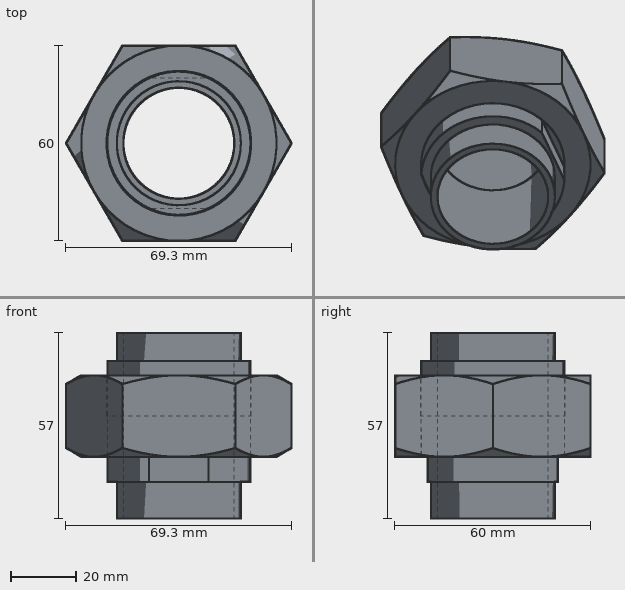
import cadquery as cq
import math

lower_pipe_length = 11.3
lower_collar_length = 7.7
nut_height = 25.0
upper_collar_exposed = 4.4
upper_pipe_length = 8.6

nut_bottom = lower_pipe_length + lower_collar_length
nut_top = nut_bottom + nut_height
upper_collar_top = nut_top + upper_collar_exposed
overall_height = upper_collar_top + upper_pipe_length
joint_height = nut_bottom + nut_height / 2

bore_diameter = 34.0
pipe_diameter = 38.1
collar_diameter = 44.0
wrench_width = 40.0
nut_corner_width = 69.3
nut_flat_width = nut_corner_width * math.cos(math.pi / 6)
nut_clearance = 0.2
chamfer_angle = math.radians(30)


def cylinder(diameter, bottom, top):
    return cq.Workplane("XY").workplane(offset=bottom).circle(diameter / 2).extrude(top - bottom)


def bored(body):
    return body.cut(cylinder(bore_diameter, 0, overall_height))


def make_lower_tail():
    collar = cylinder(collar_diameter, lower_pipe_length, joint_height)
    flats = (
        cq.Workplane("XY")
        .workplane(offset=lower_pipe_length)
        .rect(nut_corner_width, nut_corner_width)
        .rect(nut_corner_width, wrench_width)
        .extrude(lower_collar_length)
    )
    pipe = cylinder(pipe_diameter, 0, lower_pipe_length)
    return bored(collar.cut(flats).union(pipe))


def make_upper_tail():
    collar = cylinder(collar_diameter, joint_height, upper_collar_top)
    pipe = cylinder(pipe_diameter, upper_collar_top, overall_height)
    return bored(collar.union(pipe))


def make_nut():
    hexagon = (
        cq.Workplane("XY")
        .workplane(offset=nut_bottom)
        .polygon(6, nut_corner_width)
        .extrude(nut_height)
    )
    flat_radius = nut_flat_width / 2
    corner_radius = nut_corner_width / 2
    bevel_height = (corner_radius - flat_radius) * math.tan(chamfer_angle)
    envelope = (
        cq.Workplane("XZ")
        .moveTo(0, nut_bottom)
        .lineTo(flat_radius, nut_bottom)
        .lineTo(corner_radius, nut_bottom + bevel_height)
        .lineTo(corner_radius, nut_top - bevel_height)
        .lineTo(flat_radius, nut_top)
        .lineTo(0, nut_top)
        .close()
        .revolve(360, (0, 0, 0), (0, 1, 0))
    )
    lower_hole = cylinder(collar_diameter, nut_bottom, joint_height)
    upper_hole = cylinder(collar_diameter + 2 * nut_clearance, joint_height, nut_top)
    return hexagon.intersect(envelope).cut(lower_hole).cut(upper_hole)


lower_tail = make_lower_tail()
upper_tail = make_upper_tail()
nut = make_nut()

result = cq.Compound.makeCompound([lower_tail.val(), upper_tail.val(), nut.val()])